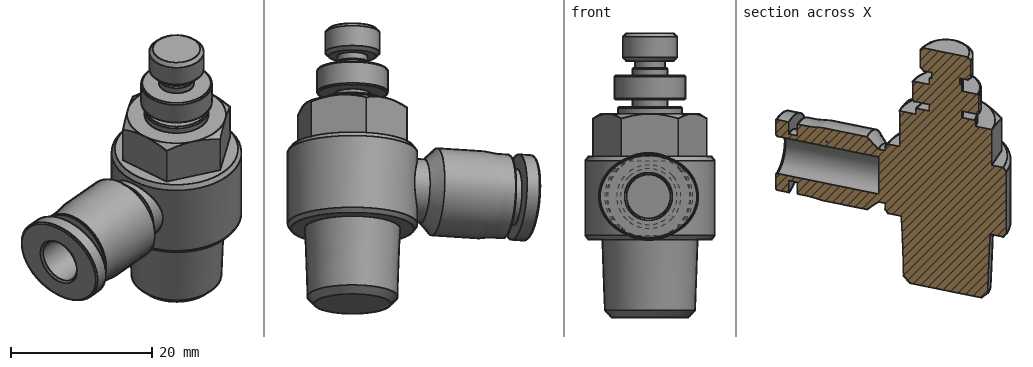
import cadquery as cq
import math

TOTAL_HEIGHT = 40.3
THREAD_TIP_Z = 1.05
BODY_BOTTOM_Z = 11.05
BODY_TOP_Z = 22.85
HEX_TOP_Z = 28.85
COLLAR_TOP_Z = 29.85
LOCKNUT_BOTTOM_Z = 30.85
LOCKNUT_TOP_Z = 34.35
STEM_STEP_Z = 35.42
KNOB_BOTTOM_Z = 36.35

BODY_DIAMETER = 18.4
BODY_RADIUS = BODY_DIAMETER / 2
THREAD_TOP_RADIUS = 6.77
THREAD_LOWER_RADIUS = 6.4
THREAD_TIP_RADIUS = 5.4
COLLAR_RADIUS = 4.55
STEM_RADIUS = 2.5
STEM_NECK_RADIUS = 2.15
LOCKNUT_RADIUS = 5.05
KNOB_RADIUS = 3.85

BODY_CHAMFER_WIDTH = 0.5
BODY_CHAMFER_HEIGHT = 0.65
SMALL_CHAMFER = 0.2
KNOB_CHAMFER = 0.52

HEX_FLATS = 14.0
HEX_CORNER_RADIUS = HEX_FLATS / 2 / math.cos(math.pi / 6)
HEX_CORNER_DROP = 0.65

TOTAL_DEPTH = 34.9
ARM_X = -0.2
ARM_Z = 17.15
ARM_NECK_RADIUS = 4.5
ARM_RADIUS = 6.2
ARM_LIP_RADIUS = 5.95
SLEEVE_RADIUS = 4.0
CONE_START = 10.15
CONE_END = 11.9
TAPER_START = 18.7
LIP_START = 20.67
LIP_END = 22.45
LIP_CHAMFER = 0.15
RING_START = 23.7
ARM_END = TOTAL_DEPTH - BODY_RADIUS
RING_HALF_WIDTH = 7.05
RING_HALF_HEIGHT = 6.0
BORE_RADIUS = 3.1
BORE_CHAMFER = 0.3
BORE_END = CONE_START


def cylinder(radius, bottom, top):
    return cq.Workplane("XY").workplane(offset=bottom).circle(radius).extrude(top - bottom)


def arm_plane(distance):
    """Plane across the fitting axis, with its normal pointing outward (-Y)."""
    return cq.Workplane("XZ", origin=(ARM_X, -distance, ARM_Z))


def thread_stub():
    profile = [
        (0, 0),
        (THREAD_TIP_RADIUS, 0),
        (THREAD_LOWER_RADIUS, THREAD_TIP_Z),
        (THREAD_TOP_RADIUS, BODY_BOTTOM_Z),
        (0, BODY_BOTTOM_Z),
    ]
    return cq.Workplane("XZ").polyline(profile).close().revolve(360, (0, 0), (0, 1))


def body():
    blank = cylinder(BODY_RADIUS, BODY_BOTTOM_Z, BODY_TOP_Z)
    return blank.faces("<Z or >Z").edges().chamfer(BODY_CHAMFER_HEIGHT, BODY_CHAMFER_WIDTH)


def hexagon():
    height = HEX_TOP_Z - BODY_TOP_Z
    prism = cq.Workplane("XY").workplane(offset=BODY_TOP_Z).polygon(6, 2 * HEX_CORNER_RADIUS).extrude(height)
    envelope = cylinder(HEX_CORNER_RADIUS, BODY_TOP_Z, HEX_TOP_Z)
    envelope = envelope.faces(">Z").edges().chamfer(HEX_CORNER_DROP, HEX_CORNER_RADIUS - HEX_FLATS / 2)
    return prism.intersect(envelope)


def adjuster():
    collar = cylinder(COLLAR_RADIUS, HEX_TOP_Z, COLLAR_TOP_Z).faces(">Z").edges().chamfer(SMALL_CHAMFER)
    stem = cylinder(STEM_RADIUS, COLLAR_TOP_Z, STEM_STEP_Z).faces(">Z").edges().chamfer(SMALL_CHAMFER)
    locknut = cylinder(LOCKNUT_RADIUS, LOCKNUT_BOTTOM_Z, LOCKNUT_TOP_Z)
    locknut = locknut.faces("<Z or >Z").edges().chamfer(SMALL_CHAMFER)
    neck = cylinder(STEM_NECK_RADIUS, STEM_STEP_Z, KNOB_BOTTOM_Z)
    knob = cylinder(KNOB_RADIUS, KNOB_BOTTOM_Z, TOTAL_HEIGHT)
    knob = knob.faces("<Z or >Z").edges().chamfer(KNOB_CHAMFER)
    return collar.union(stem).union(locknut).union(neck).union(knob)


def arm():
    profile = [
        (0, 0),
        (ARM_NECK_RADIUS, 0),
        (ARM_NECK_RADIUS, -CONE_START),
        (ARM_RADIUS, -CONE_END),
        (ARM_RADIUS, -TAPER_START),
        (ARM_LIP_RADIUS, -LIP_START),
        (ARM_LIP_RADIUS, -LIP_END + LIP_CHAMFER),
        (ARM_LIP_RADIUS - LIP_CHAMFER, -LIP_END),
        (SLEEVE_RADIUS, -LIP_END),
        (SLEEVE_RADIUS, -RING_START),
        (0, -RING_START),
    ]
    turned = cq.Workplane("XY", origin=(ARM_X, 0, ARM_Z)).polyline(profile).close()
    return turned.revolve(360, (0, 0), (0, 1))


def release_ring():
    ring = arm_plane(RING_START).ellipse(RING_HALF_WIDTH, RING_HALF_HEIGHT).extrude(ARM_END - RING_START)
    return ring.faces("<Y").edges().chamfer(SMALL_CHAMFER)


def tube_bore():
    return arm_plane(BORE_END).circle(BORE_RADIUS).extrude(ARM_END - BORE_END)


result = thread_stub().union(body()).union(hexagon()).union(adjuster())
result = result.union(arm()).union(release_ring()).cut(tube_bore())
result = result.faces("<Y").edges("%CIRCLE").chamfer(BORE_CHAMFER)